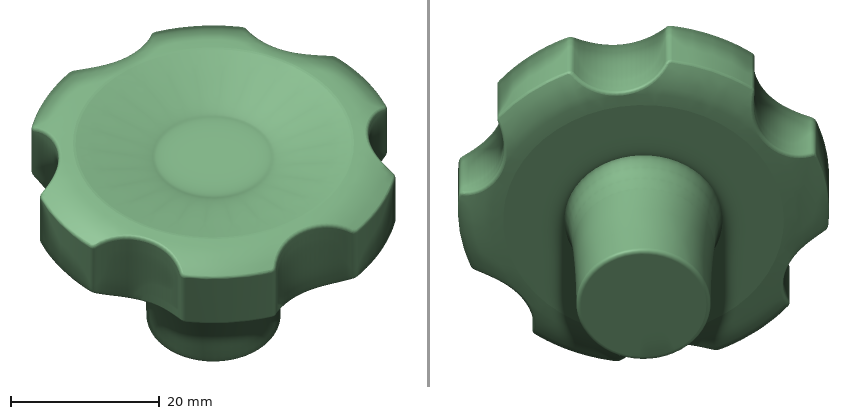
import cadquery as cq

stem_height = 20.05
head_height = 11.95
total_height = stem_height + head_height

head_radius = 24.95
crown_start_radius = 18.85
upper_crown_drop = 1.55
lower_crown_drop = 2.1
corner_round = 0.9
rim_round = 0.5
flat_clearance = 0.05

scallop_count = 6
scallop_radius = 8.4
scallop_floor_radius = 20.95
first_scallop_angle = 30.0

dish_radius = 18.7
dish_floor_radius = 8.0
dish_depth = 2.5
dish_edge_round = 1.5
dish_edge_margin = 0.1

stem_foot_radius = 9.0
stem_waist_radius = 9.45
stem_waist_height = 13.95
stem_top_radius = 10.6
stem_foot_round = 0.6


def crown_arc_radius(drop):
    """Radius of a rim arc that leaves the flat face tangentially."""
    run = head_radius - crown_start_radius
    return (run**2 + drop**2) / (2 * drop)


def make_head():
    """Disc with rounded rims, cut by the scallops, its outer edges rounded."""
    disc = (
        cq.Workplane("XZ")
        .moveTo(0, stem_height)
        .lineTo(crown_start_radius, stem_height)
        .radiusArc((head_radius, stem_height + lower_crown_drop), -crown_arc_radius(lower_crown_drop))
        .lineTo(head_radius, total_height - upper_crown_drop)
        .radiusArc((crown_start_radius, total_height), -crown_arc_radius(upper_crown_drop))
        .lineTo(0, total_height)
        .close()
        .revolve(360, (0, 0, 0), (0, 1, 0))
    )
    scallops = (
        cq.Workplane("XY")
        .workplane(offset=stem_height)
        .polarArray(scallop_floor_radius + scallop_radius, first_scallop_angle, 360, scallop_count)
        .circle(scallop_radius)
        .extrude(head_height)
    )
    lobed = disc.cut(scallops)
    lobed = lobed.edges("|Z").fillet(corner_round)
    reach = 2 * head_radius
    rim_edges = lobed.edges(cq.selectors.BoxSelector(
        (-reach, -reach, stem_height + flat_clearance),
        (reach, reach, total_height - flat_clearance),
    ))
    return rim_edges.fillet(rim_round)


def make_stem():
    """Round stem flaring upward in two tangent arcs, with a rounded foot."""
    return (
        cq.Workplane("XZ")
        .lineTo(stem_foot_radius - stem_foot_round, 0)
        .radiusArc((stem_foot_radius, stem_foot_round), -stem_foot_round)
        .tangentArcPoint((stem_waist_radius, stem_waist_height), relative=False)
        .tangentArcPoint((stem_top_radius, stem_height), relative=False)
        .lineTo(0, stem_height)
        .close()
        .revolve(360, (0, 0, 0), (0, 1, 0))
    )


def make_dish():
    """Shallow cone with a flat floor, to be removed from the top face."""
    return (
        cq.Workplane("XZ")
        .moveTo(0, total_height)
        .lineTo(dish_radius, total_height)
        .lineTo(dish_floor_radius, total_height - dish_depth)
        .lineTo(0, total_height - dish_depth)
        .close()
        .revolve(360, (0, 0, 0), (0, 1, 0))
    )


def round_dish_edges(knob):
    """Round the circular edges at the dish rim and around its floor."""
    reach = dish_radius + dish_edge_margin
    dish_edges = knob.edges(cq.selectors.BoxSelector(
        (-reach, -reach, total_height - dish_depth - dish_edge_margin),
        (reach, reach, total_height + dish_edge_margin),
        boundingbox=True,
    ))
    return dish_edges.fillet(dish_edge_round)


result = round_dish_edges(make_head().union(make_stem()).cut(make_dish()))